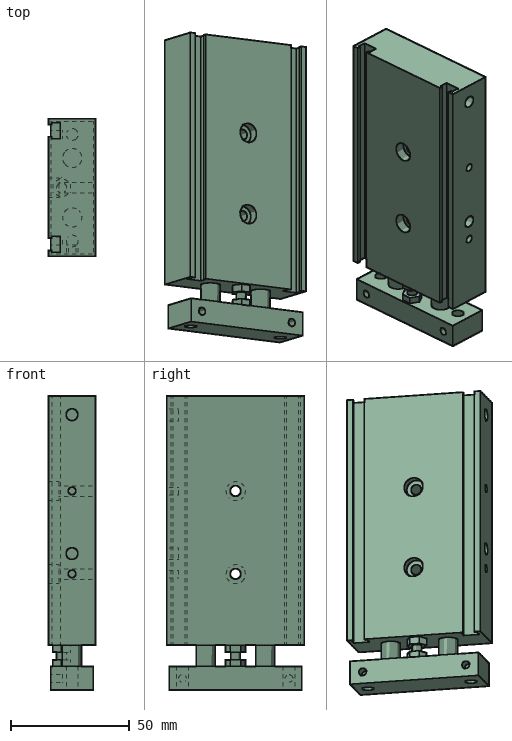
import cadquery as cq

total_height = 124.0
housing_depth = 20.0
housing_width = 58.0
plate_depth = 18.0
plate_width = 56.0
plate_height = 10.0
gap = 8.9
housing_bottom = plate_height + gap
housing_height = total_height - housing_bottom
housing_face_x = -housing_depth / 2
housing_side_y = -housing_width / 2

slot_offset = 23.9
slot_opening = 5.1
slot_lip = 1.5
slot_inner_width = 6.7
slot_depth = 5.0

mount_hole_heights = (49.0, 84.0)
mount_hole_diameter = 4.3
counterbore_diameter = 8.0
counterbore_depth = 4.3

port_heights = (57.5, 116.1)
port_diameter = 5.0
side_hole_heights = mount_hole_heights
side_hole_diameter = 3.2
side_hole_depth = 5.0

rod_diameter = 8.0
rod_offset = 12.5

plate_hole_offset = 22.5
plate_face_hole_diameter = 3.2
plate_face_hole_depth = 5.0
plate_vertical_hole_diameter = 5.0

screw_x = -4.5
screw_diameter = 4.2
hex_across_corners = 8.4
head_height = 3.0
lock_nut_height = 2.7


def x_hole(diameter, start_x, y, z, length):
    """Cylinder running in +X from start_x."""
    return cq.Workplane("YZ", origin=(start_x, y, z)).circle(diameter / 2).extrude(length)


def side_hole(diameter, z):
    """Blind cylinder running in +Y from the housing side."""
    return (
        cq.Workplane("XZ", origin=(0, housing_side_y, z))
        .circle(diameter / 2)
        .extrude(-side_hole_depth)
    )


def block(depth, width, height, x, y, z):
    """Box centred on x and y with its underside at z."""
    return cq.Workplane("XY", origin=(x, y, z)).rect(depth, width).extrude(height)


def t_slot(y):
    """Full-height T-slot cutter: narrow opening, then a wider channel."""
    opening = block(slot_depth, slot_opening, housing_height,
                    housing_face_x + slot_depth / 2, y, housing_bottom)
    channel_depth = slot_depth - slot_lip
    channel = block(channel_depth, slot_inner_width, housing_height,
                    housing_face_x + slot_lip + channel_depth / 2, y, housing_bottom)
    return opening.union(channel)


def make_housing():
    body = block(housing_depth, housing_width, housing_height, 0, 0, housing_bottom)
    for side in (-1, 1):
        body = body.cut(t_slot(side * slot_offset))
    for z in mount_hole_heights:
        body = body.cut(x_hole(mount_hole_diameter, housing_face_x, 0, z, housing_depth))
        body = body.cut(x_hole(counterbore_diameter, housing_face_x, 0, z, counterbore_depth))
    for z in port_heights:
        body = body.cut(side_hole(port_diameter, z))
    for z in side_hole_heights:
        body = body.cut(side_hole(side_hole_diameter, z))
    return body


def make_rod_carriage():
    """End plate with the two guide rods, which end at the housing underside."""
    body = block(plate_depth, plate_width, plate_height, 0, 0, 0)
    for side in (-1, 1):
        rod = (
            cq.Workplane("XY", origin=(0, side * rod_offset, plate_height))
            .circle(rod_diameter / 2)
            .extrude(gap)
        )
        body = body.union(rod)
        hole_y = side * plate_hole_offset
        face_hole = x_hole(plate_face_hole_diameter, -plate_depth / 2, hole_y,
                           plate_height / 2, plate_face_hole_depth)
        vertical_hole = (
            cq.Workplane("XY", origin=(0, hole_y, 0))
            .circle(plate_vertical_hole_diameter / 2)
            .extrude(plate_height)
        )
        body = body.cut(face_hole).cut(vertical_hole)
    return body


def hexagon(z, height):
    """Hexagonal prism with one flat facing -X."""
    return (
        cq.Workplane("XY", origin=(screw_x, 0, z))
        .transformed(rotate=(0, 0, 90))
        .polygon(6, hex_across_corners)
        .extrude(height)
    )


def make_stop_screw():
    """Shank with a lock nut on the plate and a hexagonal head under the housing."""
    shank = (
        cq.Workplane("XY", origin=(screw_x, 0, plate_height))
        .circle(screw_diameter / 2)
        .extrude(gap)
    )
    lock_nut = hexagon(plate_height, lock_nut_height)
    head = hexagon(housing_bottom - head_height, head_height)
    return shank.union(lock_nut).union(head)


housing = make_housing()
rod_carriage = make_rod_carriage()
stop_screw = make_stop_screw()

result = cq.Compound.makeCompound([housing.val(), rod_carriage.val(), stop_screw.val()])